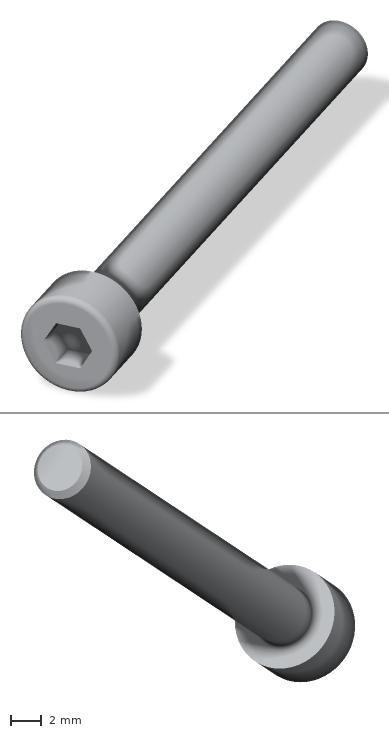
import cadquery as cq
import math

total_length = 44.0
head_diameter = 7.0
head_height = 4.0
head_edge_radius = 0.4
shank_diameter = 4.0
tip_chamfer = 0.45
neck_fillet = 0.2
socket_across_flats = 3.0
socket_depth = 2.0

head_radius = head_diameter / 2
shank_radius = shank_diameter / 2
shank_length = total_length - head_height
socket_across_corners = socket_across_flats / math.cos(math.pi / 6)


def cylinder_along_y(radius, start, length):
    """Solid cylinder on the Y axis, growing toward +Y from start."""
    return cq.Workplane("XZ", origin=(0, start, 0)).circle(radius).extrude(-length)


head_start = -total_length / 2
head_end = head_start + head_height
head = cylinder_along_y(head_radius, head_start, head_height).faces("<Y").edges().fillet(head_edge_radius)

shank = cylinder_along_y(shank_radius, head_end, shank_length).faces(">Y").edges().chamfer(tip_chamfer)

neck_edge = cq.selectors.RadiusNthSelector(0)
screw = head.union(shank)
screw = screw.faces("<Y[1]").edges(neck_edge).fillet(neck_fillet)

socket = (
    cq.Workplane("XZ", origin=(0, head_start, 0))
    .polygon(6, socket_across_corners)
    .extrude(-socket_depth)
)

result = screw.cut(socket)